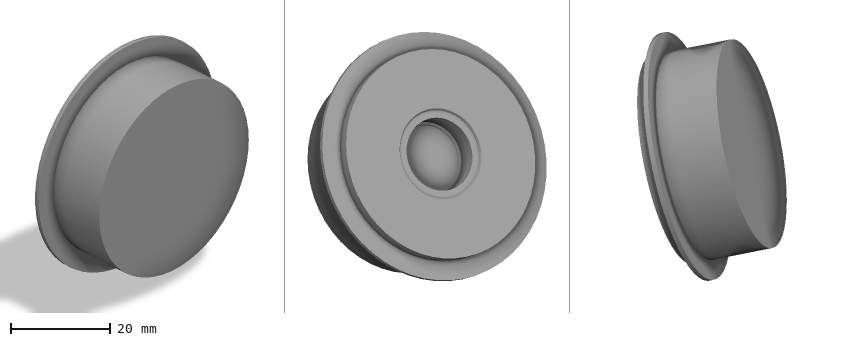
import cadquery as cq

total_length = 17.0
body_diameter = 43.0

flange_diameter = 51.0
flange_start = 2.7
flange_thickness = 1.0
groove_diameter = 42.0
groove_width = 0.3
flange_end = flange_start + flange_thickness

mouth_diameter = 18.65
mouth_floor_diameter = 18.05
mouth_depth = 0.5
bore_diameter = 15.0
bore_depth = 4.9
seat_diameter = 14.0
seat_floor_diameter = 13.65
seat_depth = 0.2
bore_floor = mouth_depth + bore_depth


def disc(diameter, start, length):
    """Solid cylinder along +X beginning at the given X position."""
    return cq.Workplane("YZ").workplane(offset=start).circle(diameter / 2).extrude(length)


def tapered_disc(start_diameter, end_diameter, start, length):
    """Solid cone frustum along +X beginning at the given X position."""
    return (
        cq.Workplane("YZ")
        .workplane(offset=start)
        .circle(start_diameter / 2)
        .workplane(offset=length)
        .circle(end_diameter / 2)
        .loft(ruled=True)
    )


def make_body():
    """Cylinder with the flange and its relief groove."""
    front = disc(body_diameter, 0, flange_start)
    flange = disc(flange_diameter, flange_start, flange_thickness)
    groove_core = disc(groove_diameter, flange_end, groove_width)
    rear_start = flange_end + groove_width
    rear = disc(body_diameter, rear_start, total_length - rear_start)
    return front.union(flange).union(groove_core).union(rear)


def make_bore():
    """Tapered mouth, straight bore and shallow tapered seat at the bottom."""
    mouth = tapered_disc(mouth_diameter, mouth_floor_diameter, 0, mouth_depth)
    bore = disc(bore_diameter, mouth_depth, bore_depth)
    seat = tapered_disc(seat_diameter, seat_floor_diameter, bore_floor, seat_depth)
    return mouth.union(bore).union(seat)


result = make_body().cut(make_bore())